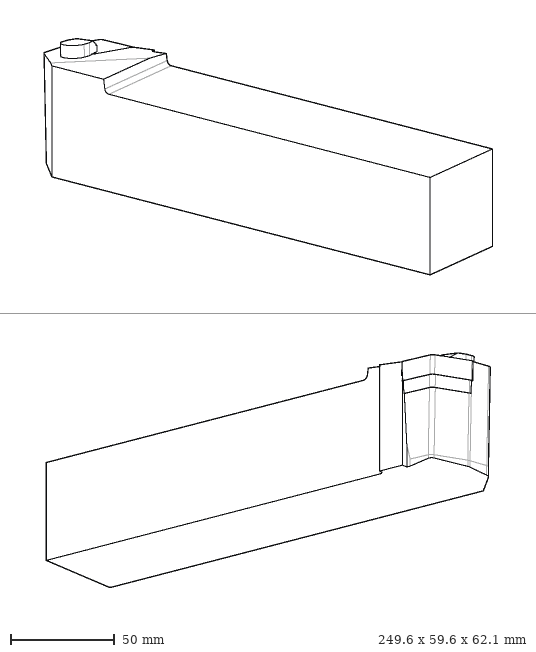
import cadquery as cq
import math


tool_length = 250.0
shank_width = 50.0
shank_height = 50.0

head_height = 57.0
head_length = 53.4
step_radius = 2.5
bump_start = 30.0
bump_end = 44.0
bump_width = 53.4
chamfer_size = 22.2

side_rake = math.radians(6.0)
slope = math.atan(math.sqrt(2) * math.tan(side_rake))
fold_start_x = 16.45

insert_size = 25.4
insert_thickness = 9.525
insert_radius = 1.6
insert_center = (15.51, 44.58)
insert_turn = 30.0
shim_thickness = 6.35
shim_inset = 0.35
shim_radius = 2.0

nose_depth = 48.8
nose_corner_radius = 5.0
nose_inset = 0.65
nose_front_top = (0.93, 37.0)
nose_front_x = 1.95
nose_overrun = 8.0

clamp_center = (18.75, 22.22)
clamp_radius = 6.4
clamp_straight = 4.2
clamp_height = 6.34
clamp_reach = 14.2
clamp_tip_width = 6.6
clamp_tip_height = 2.75
clamp_bevel_length = 5.3


def slope_point(x, y):
    """Point of the sloping face that lies at x, y in plan."""
    distance = (y - x + fold_start_x) / math.sqrt(2)
    return cq.Vector(x, y, head_height - distance * math.tan(slope))


sideways = math.sin(slope) / math.sqrt(2)
slope_normal = cq.Vector(-sideways, sideways, math.cos(slope))
along_normal = cq.selectors.ParallelDirSelector(slope_normal)

seat = cq.Plane(slope_point(*insert_center), xDir=(1, 1, 0), normal=slope_normal).rotated((0, 0, insert_turn))


def on_seat(x, y):
    """Seat coordinates of the point of the sloping face at x, y in plan."""
    point = seat.toLocalCoords(slope_point(x, y))
    return point.x, point.y


def square_plate(size, radius, depth, thickness):
    """Square plate with rounded corners whose top lies the given depth below the sloping face."""
    plate = cq.Workplane(seat).workplane(offset=-depth).rect(size, size).extrude(-thickness)
    return plate.edges(along_normal).fillet(radius)


def make_shank():
    """Shank and raised head as one side profile, with a leaning, rounded step between them."""
    step_foot = head_length + (head_height - shank_height) * math.tan(slope)
    profile = [
        (chamfer_size, 0),
        (tool_length, 0),
        (tool_length, shank_height),
        (step_foot, shank_height),
        (head_length, head_height),
        (chamfer_size, head_height),
    ]
    blank = cq.Workplane("XZ").polyline(profile).close().extrude(-shank_width)
    foot_middle = (step_foot, shank_width / 2, shank_height)
    return blank.edges(cq.selectors.NearestToPointSelector(foot_middle)).fillet(step_radius)


def make_bump():
    """Widening beside the insert, blended into the shank side."""
    inside_y = shank_width / 2
    return (
        cq.Workplane()
        .moveTo(bump_start, inside_y)
        .lineTo(bump_start, bump_width)
        .lineTo(bump_end, bump_width)
        .lineTo(bump_end, shank_width + step_radius)
        .radiusArc((bump_end + step_radius, shank_width), -step_radius)
        .lineTo(bump_end + step_radius, inside_y)
        .close()
        .extrude(head_height)
    )


def make_nose():
    """Front of the head: leans with the insert, then drops straight to the underside."""
    side = insert_size / 2 - nose_inset
    corner = (side, side)
    front_top = (on_seat(*nose_front_top)[0], side)
    front_bottom = on_seat(nose_front_x, chamfer_size - nose_front_x)
    chamfer_end = on_seat(chamfer_size + nose_overrun, -nose_overrun)
    inner_end = (side, -insert_size)
    block = (
        cq.Workplane(seat)
        .polyline([corner, front_top, front_bottom, chamfer_end, inner_end])
        .close()
        .extrude(-nose_depth)
    )
    for point, radius in (
        (corner, shim_radius),
        (front_top, nose_corner_radius),
        (front_bottom, nose_corner_radius),
    ):
        middle = seat.toWorldCoords((*point, -nose_depth / 2))
        nearest = cq.selectors.NearestToPointSelector(middle.toTuple())
        block = block.edges(along_normal).edges(nearest).fillet(radius)
    lower_face = block.faces(cq.selectors.DirectionMinMaxSelector(slope_normal, False)).val()
    foot = cq.Solid.extrudeLinear(lower_face, cq.Vector(0, 0, -shank_height))
    envelope = cq.Workplane().box(tool_length, 2 * shank_width, head_height, centered=False)
    return block.union(cq.Workplane(foot)).intersect(envelope)


def make_clamp():
    """Teardrop clamp: a round back tapering to a bevelled tip over the insert."""
    base = cq.Plane(slope_point(*clamp_center), xDir=(1, 0, sideways / math.cos(slope)), normal=slope_normal)
    half_tip = clamp_tip_width / 2
    body = (
        cq.Workplane(base)
        .moveTo(clamp_radius, 0)
        .lineTo(clamp_radius, clamp_straight)
        .lineTo(half_tip, clamp_reach)
        .lineTo(-half_tip, clamp_reach)
        .lineTo(-clamp_radius, clamp_straight)
        .lineTo(-clamp_radius, 0)
        .threePointArc((0, -clamp_radius), (clamp_radius, 0))
        .close()
        .extrude(clamp_height)
    )
    side_plane = cq.Plane(base.origin, xDir=base.yDir, normal=base.xDir)
    bevel = (
        cq.Workplane(side_plane)
        .polyline(
            [
                (clamp_reach, clamp_tip_height),
                (clamp_reach, clamp_height),
                (clamp_reach - clamp_bevel_length, clamp_height),
            ]
        )
        .close()
        .extrude(clamp_radius, both=True)
    )
    return body.cut(bevel)


def make_holder():
    """Head and shank trimmed to the sloping face, with the insert pocket, shim and clamp."""
    above_slope = cq.Workplane(seat).rect(tool_length, tool_length).extrude(shank_height)
    shim = square_plate(insert_size - 2 * shim_inset, shim_radius, insert_thickness, shim_thickness)
    head = make_shank().union(make_bump()).cut(above_slope)
    return head.union(make_nose()).cut(insert).union(shim).union(make_clamp())


insert = square_plate(insert_size, insert_radius, 0, insert_thickness)
holder = make_holder()

result = cq.Compound.makeCompound([holder.solids().val(), insert.solids().val()])